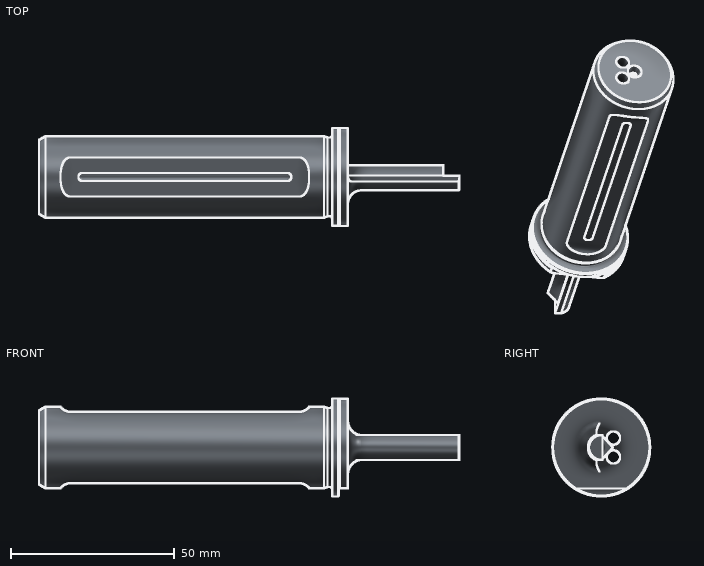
import cadquery as cq
import math

front_chamfer_end = 2.0
body_end = 87.5
taper_end = 88.1
neck_start = 88.5
flange_start = 89.8
flange_groove = 92.0
flange_end = 94.8
total_length = 129.0

front_face_radius = 11.4
body_radius = 12.5
taper_end_radius = 12.3
neck_radius = 12.1
neck_fillet = 0.4
flange_diameter = 30.0
flange_radius = flange_diameter / 2
flange_chamfer = 0.3

flat_start = 9.8
flat_end = 79.7
flat_height = 11.0
flat_runout_radius = 4.0

groove_cutter_radius = 2.5
groove_half_width = 1.3
groove_end_margin = 2.3

stem_radius = 4.1
stem_flat_height = 3.9
stem_back = 0.4
stem_end_chamfer = 0.4
stem_fillet = 4.0
stem_wall_fillet = 1.3
ridge_end = 124.0
ridge_tip = 3.6

through_hole_diameter = 4.0
through_hole_y = 3.7
through_hole_pitch = 5.8
center_cone_diameter = 4.3
center_cone_radius = center_cone_diameter / 2
center_pilot_radius = 0.9
center_cone_half_angle = 30.0
center_pilot_depth = 1.3
drill_tip_half_angle = 59.0

both_sides = (1, -1)


def revolve_about_x(profile):
    """Revolve a profile drawn in the XY plane around the X axis."""
    return profile.close().revolve(360, (0, 0, 0), (1, 0, 0))


def turned_body():
    rim = flange_radius - flange_chamfer
    return revolve_about_x(
        cq.Workplane("XY")
        .moveTo(0, 0)
        .lineTo(0, front_face_radius)
        .lineTo(front_chamfer_end, body_radius)
        .lineTo(body_end, body_radius)
        .lineTo(taper_end, taper_end_radius)
        .lineTo(neck_start, neck_radius)
        .lineTo(flange_start - neck_fillet, neck_radius)
        .radiusArc((flange_start, neck_radius + neck_fillet), -neck_fillet)
        .lineTo(flange_start, rim)
        .lineTo(flange_start + flange_chamfer, flange_radius)
        .lineTo(flange_groove - flange_chamfer, flange_radius)
        .lineTo(flange_groove, rim)
        .lineTo(flange_groove + flange_chamfer, flange_radius)
        .lineTo(flange_end - flange_chamfer, flange_radius)
        .lineTo(flange_end, rim)
        .lineTo(flange_end, 0)
    )


def flange_flat_cut():
    """Flatten the rear half of the flange level with the underside of the body."""
    return cq.Workplane("XY").box(
        flange_end - flange_groove, 2 * flange_radius, flange_radius, centered=(False, True, False)
    ).translate((flange_groove, 0, -body_radius - flange_radius))


def body_flat_cut(side):
    """Flat whose floor curves up at both ends."""
    cut_depth = 2 * flat_runout_radius
    cut = cq.Workplane("XY").box(
        flat_end - flat_start + 2 * flat_runout_radius, 2 * body_radius, cut_depth,
        centered=(False, True, False),
    ).translate((flat_start - flat_runout_radius, 0, flat_height))
    cut = cut.edges("|Y and <Z").fillet(flat_runout_radius)
    return cut if side > 0 else cut.mirror("XY")


def groove_cut(side):
    """Ball-ended cutter path running along the middle of a flat."""
    axis_offset = math.sqrt(groove_cutter_radius**2 - groove_half_width**2)
    axis_z = side * (flat_height + axis_offset)
    first_x = flat_start + groove_end_margin + groove_half_width
    last_x = flat_end - groove_end_margin - groove_half_width
    cutter = (
        cq.Workplane("YZ", origin=(first_x, 0, axis_z))
        .circle(groove_cutter_radius)
        .extrude(last_x - first_x)
    )
    for end_x in (first_x, last_x):
        cutter = cutter.union(cq.Workplane("XY", origin=(end_x, 0, axis_z)).sphere(groove_cutter_radius))
    return cutter


def stem_side_cut(side):
    """Flat along one side of the stem, with a rounded corner where it meets the flange."""
    flat_edge_y = -math.sqrt(stem_radius**2 - stem_flat_height**2)
    far_y = flat_edge_y + 2 * stem_radius
    height = 2 * stem_fillet
    base_z = stem_flat_height if side > 0 else -stem_flat_height - height
    return (
        cq.Workplane("XY", origin=(0, 0, base_z))
        .moveTo(total_length, flat_edge_y)
        .lineTo(flange_end + stem_wall_fillet, flat_edge_y)
        .radiusArc((flange_end, flat_edge_y + stem_wall_fillet), stem_wall_fillet)
        .lineTo(flange_end, far_y)
        .lineTo(total_length, far_y)
        .close()
        .extrude(height)
    )


def stem():
    """Half-round stem with a flared base and a triangular ridge along its back."""
    round_stem = revolve_about_x(
        cq.Workplane("XY")
        .moveTo(flange_end, 0)
        .lineTo(flange_end, stem_radius + stem_fillet)
        .radiusArc((flange_end + stem_fillet, stem_radius), -stem_fillet)
        .lineTo(total_length - stem_end_chamfer, stem_radius)
        .lineTo(total_length, stem_radius - stem_end_chamfer)
        .lineTo(total_length, 0)
    )
    kept_width = 2 * (stem_radius + stem_fillet)
    kept_half = cq.Workplane("XY").box(
        total_length - flange_end, kept_width, kept_width, centered=(False, False, True)
    ).translate((flange_end, stem_back - kept_width, 0))
    shape = round_stem.intersect(kept_half)
    for side in both_sides:
        shape = shape.cut(stem_side_cut(side))
    ridge = (
        cq.Workplane("YZ", origin=(flange_end, 0, 0))
        .polyline([(0, stem_flat_height), (ridge_tip, 0), (0, -stem_flat_height)])
        .close()
        .extrude(ridge_end - flange_end)
    )
    return shape.union(ridge)


def through_holes():
    half_pitch = through_hole_pitch / 2
    return (
        cq.Workplane("YZ")
        .pushPoints([(through_hole_y, side * half_pitch) for side in both_sides])
        .circle(through_hole_diameter / 2)
        .extrude(total_length)
    )


def center_hole():
    """Centre-drilled hole: a cone leading into a short pilot with a pointed end."""
    cone_slope = math.tan(math.radians(center_cone_half_angle))
    cone_depth = (center_cone_radius - center_pilot_radius) / cone_slope
    pilot_end = cone_depth + center_pilot_depth
    tip_length = center_pilot_radius / math.tan(math.radians(drill_tip_half_angle))
    return revolve_about_x(
        cq.Workplane("XY")
        .moveTo(0, 0)
        .lineTo(0, center_cone_radius)
        .lineTo(cone_depth, center_pilot_radius)
        .lineTo(pilot_end, center_pilot_radius)
        .lineTo(pilot_end + tip_length, 0)
    )


result = turned_body().cut(flange_flat_cut())
for flat_side in both_sides:
    result = result.cut(body_flat_cut(flat_side)).cut(groove_cut(flat_side))
result = result.union(stem()).cut(through_holes()).cut(center_hole())